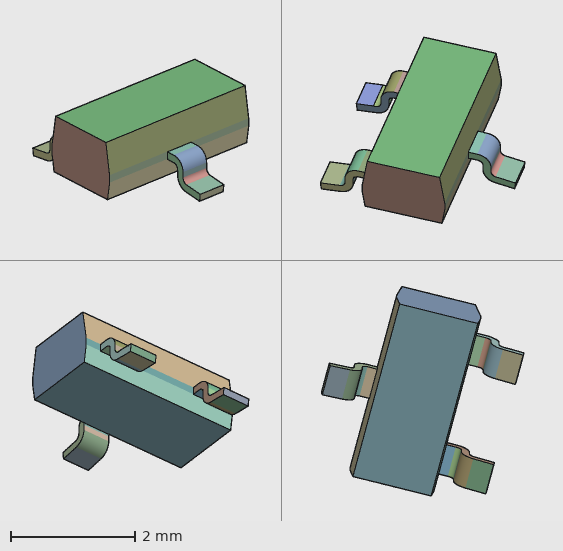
import cadquery as cq
import math

housing_length = 3.0
housing_height = 1.025
housing_width = 1.4
top_width = 1.225
bottom_width = 1.302

span = 3.0
lead_width = 0.51
lead_thickness = 0.135
lead_bottom = 0.325
lead_top = lead_bottom + lead_thickness
shank_outer = 1.083
shank_inner = shank_outer - lead_thickness
shoulder_radius = 0.09
ankle_radius = 0.095
foot_angle = math.radians(7)
foot_drop = 0.135
rear_foot_extra = 0.01
lead_offset = 0.95


def make_housing():
    """Extrude the hexagon-like end face, which has a short vertical flat on each side."""
    half_width = housing_width / 2
    right_side = [
        (bottom_width / 2, 0),
        (half_width, lead_bottom),
        (half_width, lead_top),
        (top_width / 2, housing_height),
    ]
    left_side = [(-x, z) for x, z in reversed(right_side)]
    return (
        cq.Workplane("XZ")
        .polyline(right_side + left_side)
        .close()
        .extrude(housing_length / 2, both=True)
    )


def make_lead(side, y_center, foot_extra=0.0):
    """Make a lead on side -1 or +1; foot_extra raises the upper face of its foot."""

    def on_arc(center, radius, angle):
        return (
            center[0] + radius * math.cos(angle),
            center[1] + radius * math.sin(angle),
        )

    normal = (math.sin(foot_angle), math.cos(foot_angle))

    toe_height = lead_thickness + foot_extra
    toe_bottom = (span / 2 - toe_height * normal[0], -foot_drop)
    toe_top = (span / 2, toe_bottom[1] + toe_height * normal[1])

    bend_height = lead_thickness + ankle_radius
    ankle_x = shank_outer + ankle_radius
    ankle_z = (
        toe_bottom[1]
        + (toe_bottom[0] - ankle_x) * math.tan(foot_angle)
        + bend_height / math.cos(foot_angle)
    )
    ankle = (ankle_x, ankle_z)
    ankle_outer_radius = ankle_radius + lead_thickness

    rise_angle = math.acos((ankle_radius - foot_extra) / ankle_radius)
    ankle_end = -math.pi / 2 - foot_angle + rise_angle
    heel_angle = -math.pi / 2 - foot_angle

    shoulder = (shank_inner - shoulder_radius, lead_bottom - shoulder_radius)
    shoulder_outer_radius = shoulder_radius + lead_thickness

    def place(point):
        return (side * point[0], point[1])

    profile = (
        cq.Workplane("XZ", origin=(0, y_center, 0))
        .moveTo(*place((housing_width / 2, lead_top)))
        .lineTo(*place((shoulder[0], lead_top)))
        .threePointArc(
            place(on_arc(shoulder, shoulder_outer_radius, math.pi / 4)),
            place((shank_outer, shoulder[1])),
        )
        .lineTo(*place((shank_outer, ankle[1])))
        .threePointArc(
            place(on_arc(ankle, ankle_radius, (-math.pi + ankle_end) / 2)),
            place(on_arc(ankle, ankle_radius, ankle_end)),
        )
        .lineTo(*place(toe_top))
        .lineTo(*place(toe_bottom))
        .lineTo(*place(on_arc(ankle, ankle_outer_radius, heel_angle)))
        .threePointArc(
            place(on_arc(ankle, ankle_outer_radius, (-math.pi + heel_angle) / 2)),
            place((shank_inner, ankle[1])),
        )
        .lineTo(*place((shank_inner, shoulder[1])))
        .threePointArc(
            place(on_arc(shoulder, shoulder_radius, math.pi / 4)),
            place((shoulder[0], lead_bottom)),
        )
        .lineTo(*place((housing_width / 2, lead_bottom)))
        .close()
    )
    return profile.extrude(lead_width / 2, both=True)


housing = make_housing()

lead_placements = [
    (-1, -lead_offset, 0.0),
    (-1, lead_offset, rear_foot_extra),
    (1, 0.0, 0.0),
]
leads = [make_lead(*placement) for placement in lead_placements]

result = cq.Compound.makeCompound([housing.val(), *[lead.val() for lead in leads]])